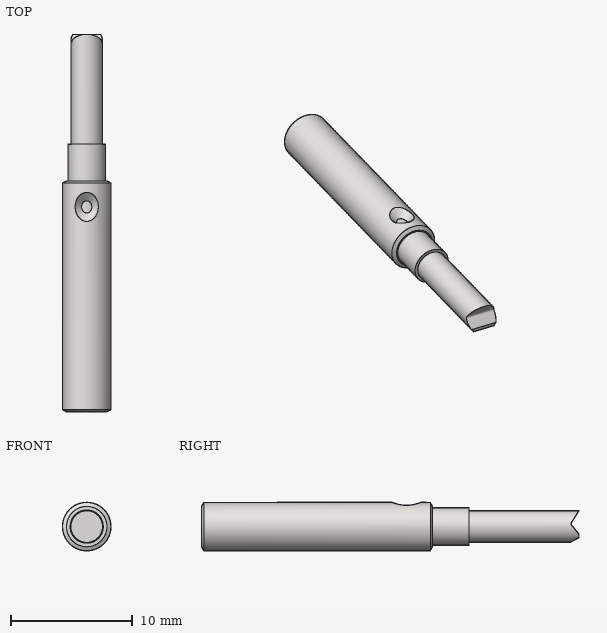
import cadquery as cq

TOTAL_LENGTH = 31.03
ROD_DIAMETER = 2.6
SLEEVE_DIAMETER = 3.1
HOUSING_DIAMETER = 4.0
HOUSING_LENGTH = 19.0
SLEEVE_LENGTH = 3.0
END_CHAMFER_RADIAL = 0.35
END_CHAMFER_AXIAL = 0.2
BORE_RELIEF = 0.05

WINDOW_FLOOR_RADIUS = 0.5
WINDOW_SETBACK = 2.15
WINDOW_OVERSHOOT = 0.3

NOTCH_DEPTH = 0.68
NOTCH_ROOT_Z = 0.22
NOTCH_LOWER_Z = -0.62
NOTCH_ROOT_RADIUS = 0.2
BEVEL_START_Z = -0.9
BEVEL_LENGTH = 0.7

ROD_RADIUS = ROD_DIAMETER / 2
HOUSING_RADIUS = HOUSING_DIAMETER / 2
SHOULDER_Y = HOUSING_LENGTH
SLEEVE_END_Y = SHOULDER_Y + SLEEVE_LENGTH
CUT_HALF_WIDTH = ROD_DIAMETER


def make_housing():
    """Turned housing with its sleeve, a through bore and a conical window."""
    bore = ROD_RADIUS
    sleeve = SLEEVE_DIAMETER / 2
    rim = HOUSING_RADIUS - END_CHAMFER_RADIAL
    profile = [
        (bore + BORE_RELIEF, 0),
        (rim, 0),
        (HOUSING_RADIUS, END_CHAMFER_AXIAL),
        (HOUSING_RADIUS, SHOULDER_Y - END_CHAMFER_AXIAL),
        (rim, SHOULDER_Y),
        (sleeve, SHOULDER_Y),
        (sleeve, SLEEVE_END_Y),
        (bore, SLEEVE_END_Y),
        (bore, BORE_RELIEF),
    ]
    turned = cq.Workplane("XY").polyline(profile).close().revolve(360, (0, 0), (0, 1))
    return turned.cut(make_window_cone())


def make_window_cone():
    """90 degree cone, narrowing downward to the floor radius at the top of the rod."""
    apex_z = ROD_RADIUS - WINDOW_FLOOR_RADIUS
    height = HOUSING_RADIUS - apex_z + WINDOW_OVERSHOOT
    return cq.Solid.makeCone(
        0, height, height,
        pnt=cq.Vector(0, SHOULDER_Y - WINDOW_SETBACK, apex_z),
        dir=cq.Vector(0, 0, 1),
    )


def make_rod():
    """Rod running the full length, with a V-notched and beveled back tip."""
    rod = cq.Workplane("XZ").circle(ROD_RADIUS).extrude(-TOTAL_LENGTH)
    return rod.cut(make_notch()).cut(make_bevel())


def make_notch():
    """V across the tip along X with a rounded root."""
    outline = [
        (TOTAL_LENGTH, ROD_RADIUS),
        (TOTAL_LENGTH - NOTCH_DEPTH, NOTCH_ROOT_Z),
        (TOTAL_LENGTH, NOTCH_LOWER_Z),
    ]
    notch = cq.Workplane("YZ").polyline(outline).close().extrude(CUT_HALF_WIDTH, both=True)
    return notch.edges("|X and <Y").fillet(NOTCH_ROOT_RADIUS)


def make_bevel():
    """Wedge removed from the lower edge of the tip."""
    outline = [
        (TOTAL_LENGTH, BEVEL_START_Z),
        (TOTAL_LENGTH - BEVEL_LENGTH, -ROD_RADIUS),
        (TOTAL_LENGTH, -ROD_RADIUS),
    ]
    return cq.Workplane("YZ").polyline(outline).close().extrude(CUT_HALF_WIDTH, both=True)


housing = make_housing()
rod = make_rod()

result = cq.Compound.makeCompound([housing.val(), rod.val()])